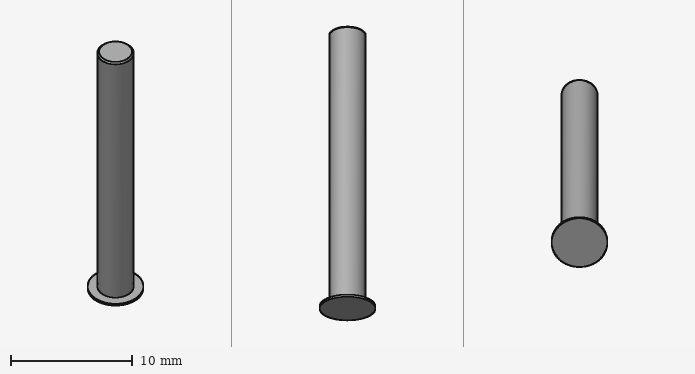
import cadquery as cq

total_height = 25.0
pin_diameter = 3.0
flange_diameter = 4.6
flange_thickness = 0.2
tip_chamfer = 0.15

flange = cq.Workplane("XY").circle(flange_diameter / 2).extrude(flange_thickness)

pin = (
    cq.Workplane("XY")
    .circle(pin_diameter / 2)
    .extrude(total_height)
    .faces(">Z")
    .chamfer(tip_chamfer)
)

result = flange.union(pin)